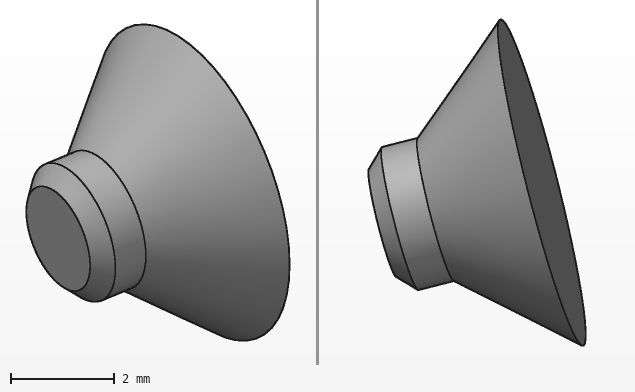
import cadquery as cq

head_diameter = 6.48
neck_diameter = 2.845
total_length = 3.17
cone_length = 2.105
tip_chamfer = 0.35

head_radius = head_diameter / 2
neck_radius = neck_diameter / 2
tip_radius = neck_radius - tip_chamfer

back_y = total_length / 2
front_y = -total_length / 2
neck_y = back_y - cone_length
chamfer_y = front_y + tip_chamfer

profile = [
    (0, front_y),
    (tip_radius, front_y),
    (neck_radius, chamfer_y),
    (neck_radius, neck_y),
    (head_radius, back_y),
    (0, back_y),
]

result = cq.Workplane("XY").polyline(profile).close().revolve(360, (0, 0, 0), (0, 1, 0))